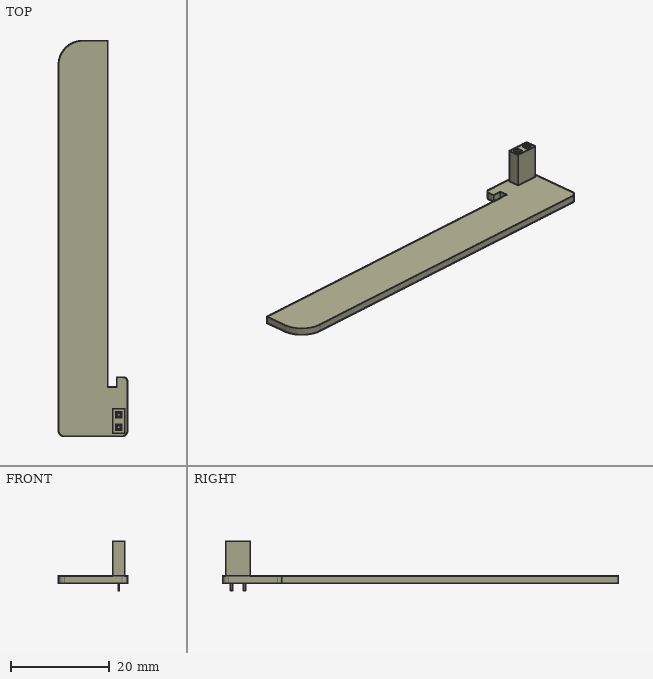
import cadquery as cq

board_width = 14.0
board_length = 80.0
board_thickness = 1.5
strip_width = 10.0
slot_floor_y = 10.0
tab_left_x = 11.8
tab_top_y = 12.0
end_radius = 5.0
corner_radius = 1.2
tab_radius = 1.0
pin_hole_diameter = 1.0

header_width = 2.5
header_length = 5.0
header_height = 7.0
header_left_x = 11.0
header_x = header_left_x + header_width / 2
header_y = 3.1
pin_pitch = 2.6
pin_y_offsets = (-pin_pitch / 2, pin_pitch / 2)

funnel_mouth = 1.2
funnel_throat = 0.6
funnel_depth = 0.3
contact_depth = 4.0

pin_thickness = 0.2
pin_width = 0.5
pin_protrusion = 1.5
tip_chamfer = 0.2


def at_pins(z):
    """Workplane at height z with one point on each pin axis."""
    points = [(header_x, header_y + offset) for offset in pin_y_offsets]
    return cq.Workplane("XY", origin=(0, 0, z)).pushPoints(points)


def make_board():
    """Long strip with a wider foot, a hooked tab and two pin holes."""
    outline = [
        (0, 0),
        (board_width, 0),
        (board_width, tab_top_y),
        (tab_left_x, tab_top_y),
        (tab_left_x, slot_floor_y),
        (strip_width, slot_floor_y),
        (strip_width, board_length),
        (0, board_length),
    ]
    board = cq.Workplane("XY").polyline(outline).close().extrude(board_thickness)
    board = board.edges("|Z and <X").edges(">Y").fillet(end_radius)
    rounded_corners = [
        (0, 0, corner_radius),
        (board_width, 0, corner_radius),
        (board_width, tab_top_y, tab_radius),
    ]
    for x, y, radius in rounded_corners:
        corner = cq.selectors.NearestToPointSelector((x, y, board_thickness / 2))
        board = board.edges("|Z").edges(corner).fillet(radius)
    return board.cut(at_pins(0).circle(pin_hole_diameter / 2).extrude(board_thickness))


def make_contact_opening(y):
    """Square funnel leading into a square contact bore, as a cutting solid."""
    top_z = board_thickness + header_height
    top_face = cq.Workplane("XY", origin=(header_x, y, top_z))
    funnel = (
        top_face.rect(funnel_mouth, funnel_mouth)
        .workplane(offset=-funnel_depth)
        .rect(funnel_throat, funnel_throat)
        .loft(ruled=True)
    )
    bore = top_face.rect(funnel_throat, funnel_throat).extrude(-contact_depth)
    return funnel.union(bore)


def make_header():
    """Housing block with its contact openings and the solder pins."""
    header = (
        cq.Workplane("XY", origin=(header_x, header_y, board_thickness))
        .rect(header_width, header_length)
        .extrude(header_height)
    )
    pin_length = pin_protrusion + board_thickness
    pins = at_pins(-pin_protrusion).rect(pin_thickness, pin_width).extrude(pin_length)
    pins = pins.faces("<Z").edges("|X").chamfer(tip_chamfer)
    header = header.union(pins)
    for offset in pin_y_offsets:
        header = header.cut(make_contact_opening(header_y + offset))
    return header


board = make_board()
header = make_header()

result = cq.Compound.makeCompound([board.val(), header.val()])